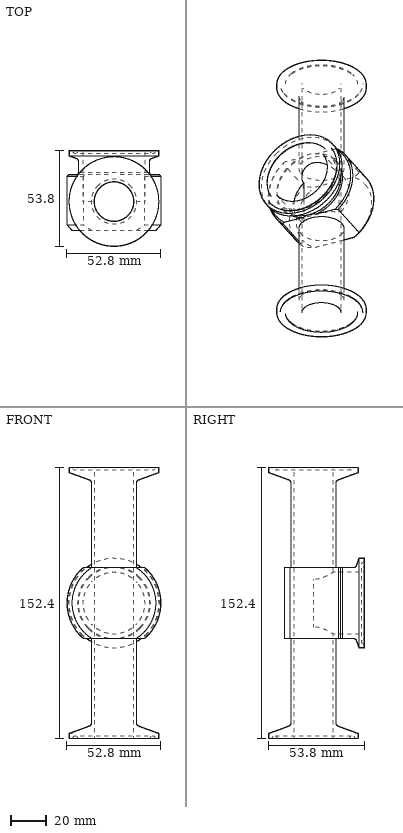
import cadquery as cq
import math

run_length = 152.4
branch_face_y = 28.575

tube_diameter = 25.4
tube_bore = 22.1

flange_diameter = 50.39
rim_thickness = 3.0
run_rim_round = 0.4
flange_slope = 20.0
neck_fillet = 1.6
bore_edge_round = 0.3

groove_inner_diameter = 39.7
groove_outer_diameter = 47.4
groove_lip_round = 0.5
groove_depth = 1.6

body_diameter = 52.83
body_height = 40.0
body_front_y = -16.3
body_back_y = 15.1
front_chamfer_width = 2.9
front_chamfer_depth = 3.2
back_chamfer = 0.9

branch_neck_diameter = 40.0
branch_bore = 34.65
branch_bore_end_y = 0.0

collar_diameter = 40.8
collar_end_y = 16.3

full_turn = 360


def turn_about_z(profile):
    return profile.close().revolve(full_turn, (0, 0, 0), (0, 1, 0))


def ferrule(neck_diameter, length, rim_round=0):
    """Solid clamp ferrule about Z: sealing face at z = 0, neck running to z = -length."""
    flange_radius = flange_diameter / 2
    neck_radius = neck_diameter / 2
    cone_height = (flange_radius - neck_radius) * math.tan(math.radians(flange_slope))
    blank = turn_about_z(
        cq.Workplane("XZ")
        .lineTo(flange_radius, 0)
        .lineTo(flange_radius, -rim_thickness)
        .lineTo(neck_radius, -rim_thickness - cone_height)
        .lineTo(neck_radius, -length)
        .lineTo(0, -length)
    )
    blank = blank.faces("%CONE").edges("<Z").fillet(neck_fillet)
    if rim_round > 0:
        largest_circles = cq.selectors.RadiusNthSelector(-1)
        blank = blank.edges(largest_circles).fillet(rim_round)
    return blank.cut(gasket_groove())


def gasket_groove():
    """Ring cutter open at z = 0: round floor and rounded lips."""
    inner_lip = groove_inner_diameter / 2
    outer_lip = groove_outer_diameter / 2
    inner_wall = inner_lip + groove_lip_round
    outer_wall = outer_lip - groove_lip_round
    floor = ((inner_wall + outer_wall) / 2, -groove_depth)
    return turn_about_z(
        cq.Workplane("XZ")
        .moveTo(inner_lip, 0)
        .radiusArc((inner_wall, -groove_lip_round), groove_lip_round)
        .threePointArc(floor, (outer_wall, -groove_lip_round))
        .radiusArc((outer_lip, 0), groove_lip_round)
    )


def bore_cutter(diameter, depth):
    """Bore about Z from z = 0 down, with a rounded mouth."""
    radius = diameter / 2
    return turn_about_z(
        cq.Workplane("XZ")
        .lineTo(radius + bore_edge_round, 0)
        .radiusArc((radius, -bore_edge_round), -bore_edge_round)
        .lineTo(radius, -depth)
        .lineTo(0, -depth)
    )


def to_top(shape):
    return shape.translate((0, 0, run_length / 2))


def to_bottom(shape):
    return to_top(shape).rotate((0, 0, 0), (1, 0, 0), 180)


def to_branch(shape):
    return shape.rotate((0, 0, 0), (1, 0, 0), -90).translate((0, branch_face_y, 0))


def body():
    """Turned about Y together with the collar, then cut flat at the top and bottom."""
    radius = body_diameter / 2
    turned = (
        cq.Workplane("XY")
        .moveTo(0, body_front_y)
        .lineTo(radius - front_chamfer_width, body_front_y)
        .lineTo(radius, body_front_y + front_chamfer_depth)
        .lineTo(radius, body_back_y - back_chamfer)
        .lineTo(radius - back_chamfer, body_back_y)
        .lineTo(collar_diameter / 2, body_back_y)
        .lineTo(branch_neck_diameter / 2, collar_end_y)
        .lineTo(0, collar_end_y)
        .close()
        .revolve(full_turn, (0, 0, 0), (0, 1, 0))
    )
    between_flats = cq.Workplane("XY").box(body_diameter, body_diameter, body_height)
    return turned.intersect(between_flats)


run_half = ferrule(tube_diameter, run_length / 2, run_rim_round)
branch = ferrule(branch_neck_diameter, branch_face_y)
outside = body().union(to_top(run_half)).union(to_bottom(run_half)).union(to_branch(branch))

run_bore_half = bore_cutter(tube_bore, run_length / 2)
blind_bore = bore_cutter(branch_bore, branch_face_y - branch_bore_end_y)
result = outside.cut(to_top(run_bore_half)).cut(to_bottom(run_bore_half)).cut(to_branch(blind_bore))